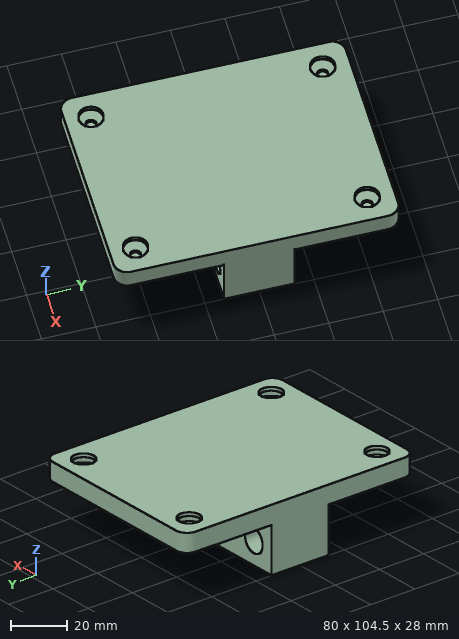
import cadquery as cq
import math

plate_length_x = 80.0
plate_width_y = 104.5
plate_thickness = 8.0
corner_radius = 5.0

block_width_y = 26.0
block_height = 20.0
cross_hole_diameter = 10.0
cross_hole_spacing_x = 60.0
cross_hole_height = block_height / 2

corner_hole_spacing_x = 60.0
corner_hole_spacing_y = 85.0
corner_hole_edge_margin_y = 10.0
mouth_diameter = 9.0
mouth_depth = 1.5
cavity_diameter = 13.0
cavity_floor_depth = 4.5
pilot_diameter = 4.0
pilot_straight_depth = 1.0
drill_point_angle = 118.0

top_z = block_height + plate_thickness


def make_plate():
    return (
        cq.Workplane("XY", origin=(0, 0, block_height))
        .rect(plate_length_x, plate_width_y)
        .extrude(plate_thickness)
        .edges("|Z")
        .fillet(corner_radius)
    )


def make_block():
    block = cq.Workplane("XY").rect(plate_length_x, block_width_y).extrude(block_height)
    cross_holes = (
        cq.Workplane("XZ", origin=(0, 0, cross_hole_height))
        .rarray(cross_hole_spacing_x, 1, 2, 1)
        .circle(cross_hole_diameter / 2)
        .extrude(block_width_y / 2, both=True)
    )
    return block.cut(cross_holes)


def make_corner_hole_cutter():
    """Half profile in XZ, measured down from the plate top, revolved about Z."""
    mouth_radius = mouth_diameter / 2
    cavity_radius = cavity_diameter / 2
    pilot_radius = pilot_diameter / 2
    shoulder_depth = cavity_floor_depth + pilot_straight_depth
    tip_length = pilot_radius / math.tan(math.radians(drill_point_angle / 2))
    return (
        cq.Workplane("XZ")
        .moveTo(0, 0)
        .lineTo(mouth_radius, 0)
        .lineTo(mouth_radius, -mouth_depth)
        .lineTo(cavity_radius, -mouth_depth)
        .lineTo(cavity_radius, -cavity_floor_depth)
        .lineTo(pilot_radius, -cavity_floor_depth)
        .lineTo(pilot_radius, -shoulder_depth)
        .lineTo(0, -shoulder_depth - tip_length)
        .close()
        .revolve(360, (0, 0, 0), (0, 1, 0))
    )


result = make_plate().union(make_block())

corner_hole_cutter = make_corner_hole_cutter()
back_row_y = plate_width_y / 2 - corner_hole_edge_margin_y
front_row_y = back_row_y - corner_hole_spacing_y
for hole_x in (-corner_hole_spacing_x / 2, corner_hole_spacing_x / 2):
    for hole_y in (front_row_y, back_row_y):
        result = result.cut(corner_hole_cutter.translate((hole_x, hole_y, top_z)))